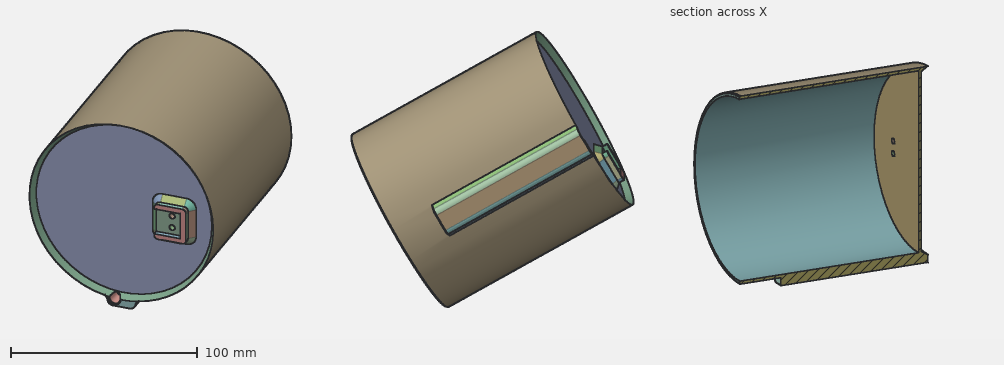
import cadquery as cq
import math

outer_radius = 106 / 2
bore_radius = 102.0 / 2
boss_protrusion = 2.5
body_length = 116.5 - boss_protrusion
back_chamfer = 0.6

recess_depth = 4.0
floor_radius = 50.6
floor_thickness = outer_radius - bore_radius

boss_x = 29.0
boss_width = 18.4
boss_height = 21.1
boss_corner = 2.3
base_height = 3.4
base_taper = 45
socket_height = 15.1
socket_end_wall = 3.4
pin_diameter = 3.1
pin_spacing = 7.0

rib_drop = 4.4
rib_length = 89.1
rib_end_chamfer = 0.5
rib_bend_radius = 3.3
rib_bend_angle = math.radians(83)
rib_half_width = 8.0
rib_bottom_z = -(outer_radius + rib_drop)

rib_hole_x = -3.8
rib_hole_z = -53.1
rib_hole_mouth = 6.0
rib_hole_lip = 0.5
rib_hole_tip = 3.5
rib_hole_depth = 8.2
rib_hole_point = rib_hole_tip / 2


def xz_plane(y, x=0.0):
    """Plane facing +Y at the given Y and X; its first axis is -X, its second +Z."""
    return cq.Plane(origin=(x, y, 0), xDir=(-1, 0, 0), normal=(0, 1, 0))


def revolve_about_y(points):
    """Turn a closed (radius, y) outline around the Y axis."""
    return cq.Workplane("XY").polyline(points).close().revolve(360, (0, 0, 0), (0, 1, 0))


def make_shell():
    floor_back = recess_depth + floor_thickness
    return revolve_about_y([
        (0, recess_depth),
        (floor_radius, recess_depth),
        (outer_radius, 0),
        (outer_radius, body_length - back_chamfer),
        (outer_radius - back_chamfer, body_length),
        (bore_radius, body_length),
        (bore_radius, floor_back),
        (0, floor_back),
    ])


def make_rib():
    """Rib whose sides sweep out of the body in a concave arc and into a convex one."""
    run = rib_bend_radius * math.sin(rib_bend_angle)
    rise = rib_bend_radius * (1 - math.cos(rib_bend_angle))
    half_run = rib_bend_radius * math.sin(rib_bend_angle / 2)
    half_rise = rib_bend_radius * (1 - math.cos(rib_bend_angle / 2))
    foot = rib_half_width - run
    flare = rib_half_width + run
    middle_z = rib_bottom_z + rise
    top_z = middle_z + rise
    convex_z = rib_bottom_z + half_rise
    concave_z = top_z - half_rise
    bar = (
        cq.Workplane(xz_plane(0))
        .moveTo(-foot, rib_bottom_z)
        .lineTo(foot, rib_bottom_z)
        .threePointArc((foot + half_run, convex_z), (rib_half_width, middle_z))
        .threePointArc((flare - half_run, concave_z), (flare, top_z))
        .lineTo(-flare, top_z)
        .threePointArc((half_run - flare, concave_z), (-rib_half_width, middle_z))
        .threePointArc((-foot - half_run, convex_z), (-foot, rib_bottom_z))
        .close()
        .extrude(rib_length)
    )
    return bar.faces(">Y").edges("not(>Z)").chamfer(rib_end_chamfer)


def make_boss():
    base_top_y = recess_depth - base_height
    wall_length = base_top_y + boss_protrusion
    base_spread = base_height * math.tan(math.radians(base_taper))
    base = (
        cq.Workplane(cq.Plane(origin=(boss_x, recess_depth, 0), xDir=(1, 0, 0), normal=(0, -1, 0)))
        .sketch()
        .rect(boss_width + 2 * base_spread, boss_height + 2 * base_spread)
        .vertices()
        .fillet(boss_corner + base_spread)
        .finalize()
        .extrude(base_height, taper=base_taper)
    )
    wall = (
        cq.Workplane(xz_plane(-boss_protrusion, boss_x))
        .rect(boss_width, boss_height)
        .extrude(wall_length)
        .edges("|Y")
        .fillet(boss_corner)
    )
    socket = (
        cq.Workplane(xz_plane(-boss_protrusion, boss_x - socket_end_wall))
        .rect(boss_width, socket_height)
        .extrude(wall_length)
    )
    return base.union(wall.cut(socket))


def make_pin_holes():
    return (
        cq.Workplane(xz_plane(-boss_protrusion, boss_x))
        .pushPoints([(0, -pin_spacing / 2), (0, pin_spacing / 2)])
        .circle(pin_diameter / 2)
        .extrude(boss_protrusion + recess_depth + floor_thickness)
    )


def make_rib_hole():
    hole = revolve_about_y([
        (0, 0),
        (rib_hole_mouth / 2 + rib_hole_lip, 0),
        (rib_hole_mouth / 2, rib_hole_lip),
        (rib_hole_tip / 2, rib_hole_depth),
        (0, rib_hole_depth + rib_hole_point),
    ])
    return hole.translate((rib_hole_x, 0, rib_hole_z))


def make_rib_trim():
    """Space inside the bore and the tapered recess, where the rib must not reach."""
    return revolve_about_y([
        (0, 0),
        (outer_radius, 0),
        (floor_radius, recess_depth),
        (bore_radius, recess_depth),
        (bore_radius, body_length),
        (0, body_length),
    ])


rib = make_rib().cut(make_rib_trim())
result = make_shell().union(rib).union(make_boss())
result = result.cut(make_pin_holes()).cut(make_rib_hole())